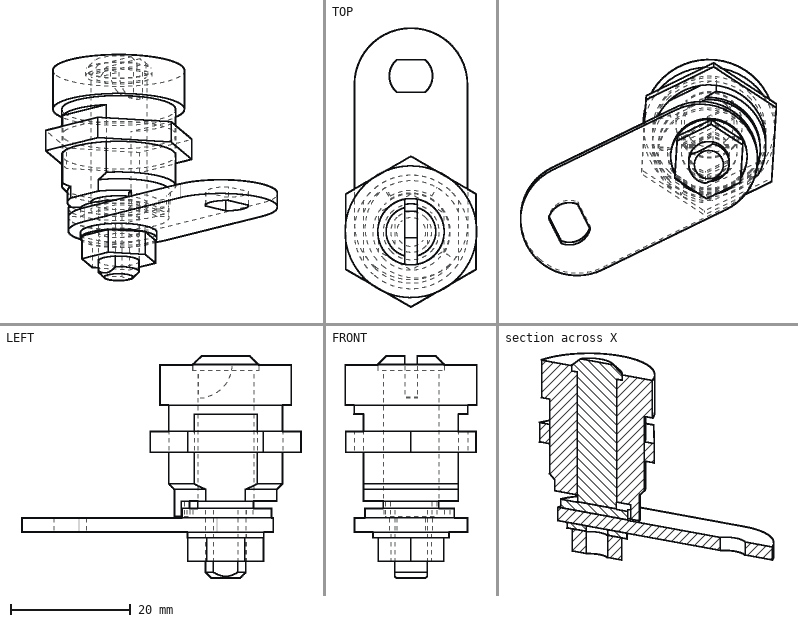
import cadquery as cq
import math


QUARTER_TURN = 90

total_length = 46.6

clamp_nut_bottom = 2.8
washer_bottom = 6.7
cam_bottom = 7.7
stop_disc_bottom = 10.05
neck_bottom = 11.65
housing_bottom = 12.85
housing_chamfer_bottom = 14.8
panel_nut_bottom = 21.0
panel_nut_top = 24.5
flats_top = 27.4
head_bottom = 28.9
head_top = 35.6
spindle_top = 37.1

head_radius = 11.0
thread_radius = 9.5
collar_radius = 8.55
housing_across_flats = 15.85
bore_radius = 4.65
tab_bottom = 10.3
tab_inner_radius = 6.95
tab_direction = 90.0
tab_half_angle = 30.0

cap_radius = 5.55
cap_rim = 0.1
cap_seat_depth = 0.95
cap_bottom = head_top - cap_seat_depth
cap_chamfer = spindle_top - head_top - cap_rim
slot_width = 2.05
slot_floor = head_top + cap_rim
keyway_start = -1.02
keyway_radius = 5.55
keyway_curve_end = 3.4
stud_radius = 3.4
stud_across_flats = 5.45
stud_chamfer = 1.0

panel_nut_across_flats = 21.8
clamp_nut_across_flats = 11.0
washer_radius = 6.4

disc_radius = 8.4
disc_offset = 0.7
disc_hub_radius = 6.5
notch_half_angle = 77.0
notch_direction = 45.0

cam_radius = 9.45
cam_near_center = 1.5
panel_nut_corner_radius = panel_nut_across_flats / math.sqrt(3)
cam_far_center = total_length - panel_nut_corner_radius - cam_radius
cam_hole_center = 26.0
cam_hole_radius = 3.6
cam_hole_across_flats = 5.4


def cylinder(radius, bottom, top):
    """Upright cylinder on the spindle axis."""
    return cq.Workplane("XY").workplane(offset=bottom).circle(radius).extrude(top - bottom)


def flatted_bar(radius, across_flats, bottom, top):
    """Upright cylinder with two flats facing -X and +X."""
    height = top - bottom
    slab = cq.Workplane("XY").box(across_flats, 2 * radius, height, centered=(True, True, False))
    return cylinder(radius, bottom, top).intersect(slab.translate((0, 0, bottom)))


def sector(radius, direction, half_angle, bottom, top):
    """Upright pie slice from the axis, centred on a direction in degrees."""
    def rim_point(angle):
        return radius * math.cos(math.radians(angle)), radius * math.sin(math.radians(angle))

    return (
        cq.Workplane("XY").workplane(offset=bottom)
        .lineTo(*rim_point(direction - half_angle))
        .threePointArc(rim_point(direction), rim_point(direction + half_angle))
        .close()
        .extrude(top - bottom)
    )


def make_hex_nut(across_flats, hole_radius, bottom, top):
    """Hexagon nut with corners on the Y axis and a round hole."""
    corner_diameter = 2 * across_flats / math.sqrt(3)
    hexagon = cq.Workplane("XY").polygon(6, corner_diameter).extrude(top - bottom)
    upright = hexagon.rotate((0, 0, 0), (0, 0, 1), QUARTER_TURN).translate((0, 0, bottom))
    return upright.cut(cylinder(hole_radius, bottom, top))


def make_housing():
    """Round head on a flatted barrel with a stop tab hanging from its lower end."""
    chamfer_top = housing_chamfer_bottom + thread_radius - collar_radius
    housing = (
        cq.Workplane("XZ")
        .moveTo(0, housing_bottom)
        .lineTo(collar_radius, housing_bottom)
        .lineTo(collar_radius, housing_chamfer_bottom)
        .lineTo(thread_radius, chamfer_top)
        .lineTo(thread_radius, head_bottom)
        .lineTo(head_radius, head_bottom)
        .lineTo(head_radius, head_top)
        .lineTo(0, head_top)
        .close()
        .revolve(360, (0, 0), (0, 1))
    )
    barrel_ring = cylinder(thread_radius, housing_bottom, flats_top)
    flats_waste = barrel_ring.cut(
        flatted_bar(thread_radius, housing_across_flats, housing_bottom, flats_top)
    )
    tab = sector(collar_radius, tab_direction, tab_half_angle, tab_bottom, housing_bottom)
    tab = tab.cut(cylinder(tab_inner_radius, tab_bottom, housing_bottom))
    bore = cylinder(bore_radius, housing_bottom, head_top)
    cap_seat = cylinder(cap_radius, cap_bottom, head_top)
    return housing.cut(flats_waste).union(tab).cut(bore).cut(cap_seat)


def make_slot_cutter():
    """Screwdriver slot across the cap that deepens into a curved keyway toward +Y."""
    keyway_center = keyway_start + keyway_radius
    keyway_floor = slot_floor - keyway_radius

    def curve_height(y):
        return slot_floor - math.sqrt(keyway_radius**2 - (keyway_center - y) ** 2)

    curve_middle = (keyway_start + keyway_curve_end) / 2
    return (
        cq.Workplane("YZ")
        .moveTo(-cap_radius, spindle_top)
        .lineTo(-cap_radius, slot_floor)
        .lineTo(keyway_start, slot_floor)
        .threePointArc(
            (curve_middle, curve_height(curve_middle)),
            (keyway_curve_end, curve_height(keyway_curve_end)),
        )
        .lineTo(keyway_curve_end, keyway_floor)
        .lineTo(cap_radius, keyway_floor)
        .lineTo(cap_radius, spindle_top)
        .close()
        .extrude(slot_width / 2, both=True)
    )


def make_spindle():
    """Slotted cap, round shaft and flatted stud in one piece."""
    cap = cylinder(cap_radius, cap_bottom, spindle_top).faces(">Z").chamfer(cap_chamfer)
    shaft = cylinder(bore_radius, neck_bottom, cap_bottom)
    round_stud = cylinder(stud_radius, 0, neck_bottom).faces("<Z").chamfer(stud_chamfer)
    stud = round_stud.intersect(flatted_bar(stud_radius, stud_across_flats, 0, neck_bottom))
    return cap.union(shaft).union(stud).cut(make_slot_cutter())


def make_stop_disc():
    """Offset disc with a wide notch in which the housing tab limits the turn."""
    bottom, top = stop_disc_bottom, neck_bottom
    rim = cylinder(disc_radius, bottom, top).translate((disc_offset, disc_offset, 0))
    notch_radius = disc_radius + 2 * disc_offset
    notch = sector(notch_radius, notch_direction, notch_half_angle, bottom, top)
    disc = rim.cut(notch).union(cylinder(disc_hub_radius, bottom, top))
    return disc.cut(flatted_bar(stud_radius, stud_across_flats, bottom, top))


def make_cam():
    """Flat arm with round ends, keyed to the stud and pierced near its tip."""
    thickness = stop_disc_bottom - cam_bottom
    arm = (
        cq.Workplane("XY").workplane(offset=cam_bottom)
        .center(0, (cam_near_center + cam_far_center) / 2)
        .slot2D(cam_far_center - cam_near_center + 2 * cam_radius, 2 * cam_radius, QUARTER_TURN)
        .extrude(thickness)
    )
    stud_hole = flatted_bar(stud_radius, stud_across_flats, cam_bottom, stop_disc_bottom)
    tip_hole = (
        flatted_bar(cam_hole_radius, cam_hole_across_flats, cam_bottom, stop_disc_bottom)
        .rotate((0, 0, 0), (0, 0, 1), QUARTER_TURN)
        .translate((0, cam_hole_center, 0))
    )
    return arm.cut(stud_hole).cut(tip_hole)


def make_washer():
    """Plain round washer between the cam and the clamp nut."""
    ring = cylinder(washer_radius, washer_bottom, cam_bottom)
    return ring.cut(cylinder(stud_radius, washer_bottom, cam_bottom))


housing = make_housing()
spindle = make_spindle()
panel_nut = make_hex_nut(panel_nut_across_flats, thread_radius, panel_nut_bottom, panel_nut_top)
stop_disc = make_stop_disc()
cam = make_cam()
washer = make_washer()
clamp_nut = make_hex_nut(clamp_nut_across_flats, stud_radius, clamp_nut_bottom, washer_bottom)

result = cq.Compound.makeCompound([
    housing.solids().val(),
    spindle.solids().val(),
    panel_nut.solids().val(),
    stop_disc.solids().val(),
    cam.solids().val(),
    washer.solids().val(),
    clamp_nut.solids().val(),
])